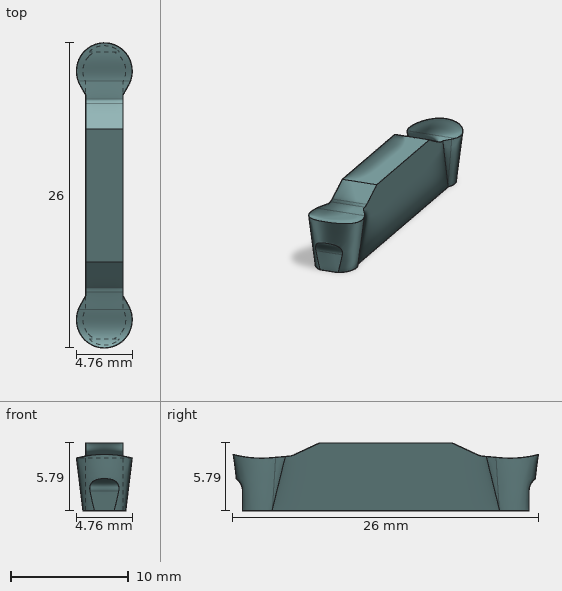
import cadquery as cq
import math

half_length = 12.99
body_height = 5.79
body_width = 3.2
plateau_half_length = 5.65

head_radius = 2.38
dish_low_height = 4.5
rim_height = 4.81
clearance_angle = math.radians(7)
neck_angle = math.radians(30)

dish_inner_reach = 0.85
ramp_angle = math.radians(25)
valley_radius = 1.2

relief_y = 12.2
relief_flat_height = 1.7
relief_radius = 1.3


def head_radius_at(height):
    return head_radius + (height - dish_low_height) * math.tan(clearance_angle)


head_center_y = half_length - head_radius_at(rim_height)
rim_reach = half_length - head_center_y
rim_rise = rim_height - dish_low_height
dish_radius = (rim_reach**2 + rim_rise**2) / (2 * rim_rise)


def dish_height(offset):
    """Height of the dish at a distance along Y from the head centre."""
    return dish_low_height + dish_radius - math.sqrt(dish_radius**2 - offset**2)


def make_body():
    return cq.Workplane("XY").box(
        body_width, 2 * head_center_y, body_height, centered=(True, True, False)
    )


def make_head():
    """Cone and the wedge-shaped neck whose flanks are tangent to it, at the +Y end."""
    base_radius = head_radius_at(0)
    top_radius = head_radius_at(body_height)
    cone = (
        cq.Workplane("XY")
        .circle(base_radius)
        .workplane(offset=body_height)
        .circle(top_radius)
        .loft(ruled=True)
    )

    def neck_section(radius):
        tangent_x = radius * math.cos(neck_angle)
        tangent_y = -radius * math.sin(neck_angle)
        apex_y = -radius / math.sin(neck_angle)
        return [(-tangent_x, tangent_y), (tangent_x, tangent_y), (0, apex_y)]

    neck = (
        cq.Workplane("XY")
        .polyline(neck_section(base_radius))
        .close()
        .workplane(offset=body_height)
        .polyline(neck_section(top_radius))
        .close()
        .loft(ruled=True)
    )
    return cone.union(neck).translate((0, head_center_y, 0))


def make_side_envelope():
    """Solid under the top outline of the +Y half, with the foot relief left out."""
    dish_inner_y = head_center_y - dish_inner_reach
    dish_inner_height = dish_height(dish_inner_reach)
    neck_slope_angle = math.asin(dish_inner_reach / dish_radius)

    neck_slope = math.tan(neck_slope_angle)
    ramp_slope = math.tan(ramp_angle)
    height_at_plateau_edge = dish_inner_height + neck_slope * (dish_inner_y - plateau_half_length)
    drop_to_neck = body_height - height_at_plateau_edge
    corner_y = plateau_half_length + drop_to_neck / (ramp_slope - neck_slope)
    corner_height = body_height - ramp_slope * (corner_y - plateau_half_length)

    tangent_length = valley_radius * math.tan((ramp_angle - neck_slope_angle) / 2)
    valley_outer = (
        corner_y + tangent_length * math.cos(neck_slope_angle),
        corner_height - tangent_length * math.sin(neck_slope_angle),
    )
    valley_inner = (
        corner_y - tangent_length * math.cos(ramp_angle),
        corner_height + tangent_length * math.sin(ramp_angle),
    )

    relief_mid_y = relief_y + relief_radius * (1 - math.cos(math.pi / 4))
    relief_mid_height = relief_flat_height + relief_radius * math.sin(math.pi / 4)
    relief_end = (relief_y + relief_radius, relief_flat_height + relief_radius)

    return (
        cq.Workplane("YZ")
        .moveTo(0, 0)
        .lineTo(relief_y, 0)
        .lineTo(relief_y, relief_flat_height)
        .threePointArc((relief_mid_y, relief_mid_height), relief_end)
        .lineTo(relief_end[0], dish_height(relief_end[0] - head_center_y))
        .threePointArc((head_center_y, dish_low_height), (dish_inner_y, dish_inner_height))
        .lineTo(*valley_outer)
        .tangentArcPoint(valley_inner, relative=False)
        .lineTo(plateau_half_length, body_height)
        .lineTo(0, body_height)
        .close()
        .extrude(head_radius_at(body_height), both=True)
    )


head = make_head()
envelope_half = make_side_envelope()
envelope = envelope_half.union(envelope_half.mirror("XZ"))
result = make_body().union(head).union(head.mirror("XZ")).intersect(envelope)